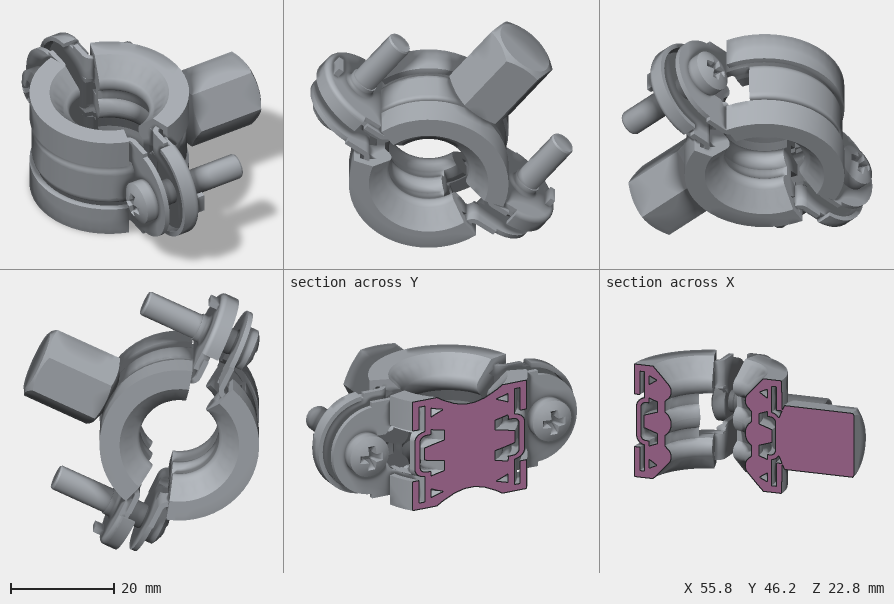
import cadquery as cq
import math


OVERALL_X = 55.82
OVERALL_Y = 46.19

LINING_R = 15.5
LINING_HALF_H = 11.42
WRAP_INNER_R = 14.3
WRAP_EDGE_Z = 5.27
BORE_R = 7.73
RECESS_R = 9.05
MOUTH_R = 11.6
CONE_END_R = 8.4
CONE_END_Z = 8.07
RIB_CREST_Z = 6.6
RIB_END_Z = 5.1
RECESS_TOP_Z = 4.5
RECESS_LOW_Z = 2.4
NOTCH_R = 10.84
NOTCH_TOP_Z = 9.3
NOTCH_Z = 8.6
NOTCH_LOW_Z = 7.6
BACK_R = 10.7
BACK_TOP_Z = 4.2
BACK_LOW_Z = 2.2
HUMP_R = 13.5
HUMP_HALF_H = 1.3

SHEET = 1.0
BAND_INNER_R = 12.4
BAND_OUTER_R = BAND_INNER_R + SHEET
BAND_HALF_H = 10.0
BEAD_OUTER_R = 15.1
BEAD_HALF_H = 4.8
BEAD_ROUND = 2.0
BEAD_MOUTH_ROUND = 1.75

EAR_FACE_Y = 2.05
EAR_BACK_Y = EAR_FACE_Y + SHEET
EAR_DISC_X = 17.5
EAR_DISC_R = 9.1
UPPER_EAR_STEP_X = 17.3
LOWER_EAR_STEP_X = 18.1
BEND_INNER_R = 1.0
BEND_OUTER_R = BEND_INNER_R + SHEET
BEND_CENTRE_Y = EAR_FACE_Y + BEND_OUTER_R
BEND_CENTRE_R = BAND_OUTER_R + BEND_INNER_R
CUT_ANGLE = math.asin(BEND_CENTRE_Y / BEND_CENTRE_R)
BEND_CENTRE_X = BEND_CENTRE_R * math.cos(CUT_ANGLE)

SCREW_X = 19.9
SCREW_D = 5.0
SCREW_TIP_D = 4.6
SCREW_TIP_Y = 17.0
SCREW_TIP_L = 0.35
NECK_TOP_Y = -1.75
HEAD_D = 8.38
HEAD_RIM_Y = -5.5
HEAD_END_Y = -6.9
RECESS_ARM_L = 5.5
RECESS_ARM_W = 1.65
RECESS_FLOOR_L = 2.1
RECESS_FLOOR_W = 1.2
RECESS_CORE_SIDES = 8
RECESS_CORE_D = RECESS_FLOOR_L / math.cos(math.pi / RECESS_CORE_SIDES)
RECESS_DEPTH = 2.8

SLOT_W = 5.8
SLOT_END_X = 15.1
KEYHOLE_X = 13.8
KEYHOLE_HALF_W = 4.4
KEYHOLE_END_ANGLE = math.radians(33.5)

CAGE_R = 10.17
CAGE_END_X = OVERALL_X / 2
CAGE_CENTRE_X = CAGE_END_X - CAGE_R
CAGE_WALL = 0.9
CAGE_CUT_X = 18.55
CAGE_TOP_Y = EAR_BACK_Y + SHEET
CAGE_RIM_Y = 0.6
CAGE_ROUND = 0.95
TONGUE_END_X = 14.74
TONGUE_HALF_W = 9.1
TAB_X = 25.3
TAB_T = 1.1
TAB_W = 3.8
TAB_TOP_Y = 5.9
COLLAR_D = 5.5
COLLAR_FOOT_D = 6.65
COLLAR_FOOT_Y = 4.8
COLLAR_TOP_Y = 5.7

NUT_FLATS = 13.0
NUT_CORNERS = NUT_FLATS / math.cos(math.pi / 6)
NUT_TOP_Y = OVERALL_Y - LINING_R
NUT_SEAT_Y = 14.6
NUT_TOP_R = 5.93
NUT_TOP_EDGE_Y = 29.8
NUT_LOW_EDGE_Y = 16.4
NUT_SEAT_R = 3.4

FAR = 40.0


def plate(sketch, y_low, y_high):
    """Extrude a sketch lying in the X-Z plane between two Y levels."""
    return sketch.extrude(y_low - y_high).translate((0, y_low, 0))


def arc_pair(profile):
    """Revolve a profile of the X-Z plane into the upper and lower clamp arcs."""
    sweep = 180 - 2 * math.degrees(CUT_ANGLE)
    arc = profile.revolve(sweep, (0, 0), (0, 1))
    arc = arc.rotate((0, 0, 0), (0, 0, 1), math.degrees(CUT_ANGLE))
    return arc.union(arc.mirror("XZ"))


def rib_middle():
    """Mid point of the round flank from the middle rib crest to the recess."""
    sag = RECESS_R - BORE_R
    radius = (RECESS_LOW_Z ** 2 + sag ** 2) / (2 * sag)
    angle = math.asin(RECESS_LOW_Z / radius) / 2
    return (BORE_R + radius * (1 - math.cos(angle)), radius * math.sin(angle))


def make_lining():
    """Soft lining: conical mouths, three sealing ribs and wraps around the band edges."""
    profile = (
        cq.Workplane("XZ")
        .moveTo(BORE_R, 0)
        .threePointArc(rib_middle(), (RECESS_R, RECESS_LOW_Z))
        .lineTo(RECESS_R, RECESS_TOP_Z)
        .lineTo(CONE_END_R, RIB_END_Z)
        .threePointArc((BORE_R, RIB_CREST_Z), (CONE_END_R, CONE_END_Z))
        .lineTo(MOUTH_R, LINING_HALF_H)
        .lineTo(LINING_R, LINING_HALF_H)
        .lineTo(LINING_R, WRAP_EDGE_Z)
        .lineTo(WRAP_INNER_R, WRAP_EDGE_Z)
        .lineTo(WRAP_INNER_R, BAND_HALF_H)
        .lineTo(BAND_INNER_R, BAND_HALF_H)
        .lineTo(BAND_INNER_R, NOTCH_TOP_Z)
        .lineTo(NOTCH_R, NOTCH_Z)
        .lineTo(BAND_INNER_R, NOTCH_LOW_Z)
        .lineTo(BAND_INNER_R, BEAD_HALF_H)
        .lineTo(BACK_R, BACK_TOP_Z)
        .lineTo(BACK_R, BACK_LOW_Z)
        .lineTo(HUMP_R, HUMP_HALF_H)
        .lineTo(HUMP_R, 0)
        .close()
    )
    arcs = arc_pair(profile)
    return arcs.union(arcs.mirror("XY"))


def make_band():
    """Two band arcs with the hollow bead pressed along their middle."""
    strip = cq.Workplane("XZ").moveTo((BAND_INNER_R + BAND_OUTER_R) / 2, 0).rect(SHEET, 2 * BAND_HALF_H)
    band = arc_pair(strip)
    bead = cq.Workplane("XY").circle(BEAD_OUTER_R).circle((BAND_INNER_R + BAND_OUTER_R) / 2)
    bead = bead.extrude(BEAD_HALF_H, both=True)
    bead = bead.edges(cq.selectors.RadiusNthSelector(-1)).fillet(BEAD_ROUND)
    gap = cq.Workplane("XY").box(FAR, 2 * EAR_FACE_Y, FAR)
    cavity = cq.Workplane("XY").circle(BEAD_OUTER_R - SHEET)
    cavity = cavity.extrude(BEAD_HALF_H - SHEET, both=True).edges().fillet(BEAD_ROUND - SHEET)
    return band.union(bead.cut(gap)).cut(cavity)


def make_ear(step_x):
    """Upper right ear with the bends that join it to the band."""
    root = cq.Workplane("XZ").moveTo((BEND_CENTRE_X + step_x) / 2, 0)
    root = plate(root.rect(step_x - BEND_CENTRE_X, 2 * BAND_HALF_H), EAR_FACE_Y, EAR_BACK_Y)
    disc = plate(cq.Workplane("XZ").center(EAR_DISC_X, 0).circle(EAR_DISC_R), EAR_FACE_Y, EAR_BACK_Y)
    inner_side = cq.Workplane("XY").box(FAR, FAR, FAR).translate((BEND_CENTRE_X - FAR / 2, 0, 0))
    ear = root.union(disc.cut(inner_side))

    def on_bend(radius, angle):
        return (BEND_CENTRE_X + radius * math.cos(angle), BEND_CENTRE_Y + radius * math.sin(angle))

    start = math.pi + CUT_ANGLE
    end = 1.5 * math.pi
    middle = (start + end) / 2
    bend = (
        cq.Workplane("XY")
        .moveTo(*on_bend(BEND_OUTER_R, start))
        .threePointArc(on_bend(BEND_OUTER_R, middle), on_bend(BEND_OUTER_R, end))
        .lineTo(*on_bend(BEND_INNER_R, end))
        .threePointArc(on_bend(BEND_INNER_R, middle), on_bend(BEND_INNER_R, start))
        .close()
        .extrude(BAND_HALF_H - BEAD_HALF_H)
        .translate((0, 0, BEAD_HALF_H))
    )
    return ear.union(bend).union(bend.mirror("XY"))


def make_bead_mouth():
    """Waste between the sharp upper right bead corner and its rounded shape."""
    centre_y = EAR_FACE_Y + BEAD_MOUTH_ROUND
    wall_x = math.sqrt((BEAD_OUTER_R - SHEET) ** 2 - centre_y ** 2)
    centre_x = wall_x + BEAD_MOUTH_ROUND
    arc_middle = BEAD_MOUTH_ROUND * math.sqrt(0.5)
    waste = (
        cq.Workplane("XY")
        .moveTo(wall_x, centre_y)
        .threePointArc((centre_x - arc_middle, centre_y - arc_middle), (centre_x, EAR_FACE_Y))
        .lineTo(wall_x, EAR_FACE_Y)
        .close()
    )
    return waste.extrude(BEAD_HALF_H - SHEET, both=True)


def make_keyhole():
    """Screw slot that widens into an opening through band and lining for the screw head."""
    outline = [
        (-SCREW_X, SLOT_W / 2),
        (-SLOT_END_X, SLOT_W / 2),
        (-KEYHOLE_X, KEYHOLE_HALF_W),
        (0, KEYHOLE_HALF_W),
        (0, -KEYHOLE_HALF_W),
        (-KEYHOLE_X, -KEYHOLE_HALF_W),
        (-SLOT_END_X, -SLOT_W / 2),
        (-SCREW_X, -SLOT_W / 2),
    ]
    slot = plate(cq.Workplane("XZ").polyline(outline).close(), -LINING_R, 0)
    sector = [(0, 0), (-FAR, 0), (-FAR, -FAR * math.tan(KEYHOLE_END_ANGLE))]
    slot = slot.intersect(cq.Workplane("XY").polyline(sector).close().extrude(FAR, both=True))
    return slot.union(plate(cq.Workplane("XZ").center(-SCREW_X, 0).circle(SLOT_W / 2), -LINING_R, 0))


def make_screw(x):
    """Pan-head screw with a tapered cross recess."""
    outline = (
        cq.Workplane("XY")
        .moveTo(0, SCREW_TIP_Y)
        .lineTo(SCREW_TIP_D / 2, SCREW_TIP_Y)
        .lineTo(SCREW_D / 2, SCREW_TIP_Y - SCREW_TIP_L)
        .lineTo(SCREW_D / 2, NECK_TOP_Y)
        .lineTo(SCREW_TIP_D / 2, NECK_TOP_Y - SCREW_TIP_L)
        .lineTo(SCREW_TIP_D / 2, -EAR_BACK_Y)
        .lineTo(HEAD_D / 2, -EAR_BACK_Y)
        .lineTo(HEAD_D / 2, HEAD_RIM_Y)
    )
    sag = HEAD_RIM_Y - HEAD_END_Y
    dome_r = ((HEAD_D / 2) ** 2 + sag ** 2) / (2 * sag)
    half_angle = math.asin(HEAD_D / 2 / dome_r) / 2
    dome_middle = (dome_r * math.sin(half_angle), HEAD_END_Y + dome_r * (1 - math.cos(half_angle)))
    outline = outline.threePointArc(dome_middle, (0, HEAD_END_Y)).close()
    screw = outline.revolve(360, (0, 0), (0, 1))
    arm = (
        cq.Workplane("XZ", origin=(0, HEAD_END_Y, 0))
        .rect(RECESS_ARM_L, RECESS_ARM_W)
        .workplane(offset=-RECESS_DEPTH)
        .rect(RECESS_FLOOR_L, RECESS_FLOOR_W)
        .loft(ruled=True)
    )
    core = cq.Workplane("XZ", origin=(0, HEAD_END_Y, 0))
    core = core.polygon(RECESS_CORE_SIDES, RECESS_CORE_D).extrude(-RECESS_DEPTH)
    core = core.rotate((0, 0, 0), (0, 1, 0), 180 / RECESS_CORE_SIDES)
    screw = screw.cut(arm).cut(arm.rotate((0, 0, 0), (0, 1, 0), 90)).cut(core)
    return screw.translate((x, 0, 0))


def make_cage():
    """Right cage: half-round cap with rim, tongue, tab and screw collar."""
    cap = plate(cq.Workplane("XZ").center(CAGE_CENTRE_X, 0).circle(CAGE_R), CAGE_RIM_Y, CAGE_TOP_Y)
    cap = cap.faces(">Y").edges().fillet(CAGE_ROUND)
    hollow = cq.Workplane("XZ").center(CAGE_CENTRE_X, 0).circle(CAGE_R - CAGE_WALL)
    cap = cap.cut(plate(hollow, CAGE_RIM_Y, EAR_BACK_Y))
    inner_side = cq.Workplane("XY").box(FAR, FAR, FAR).translate((CAGE_CUT_X - FAR / 2, 0, 0))
    cap = cap.cut(inner_side)
    tongue = cq.Workplane("XZ").center((TONGUE_END_X + CAGE_CUT_X) / 2, 0)
    tongue = tongue.rect(CAGE_CUT_X - TONGUE_END_X, 2 * TONGUE_HALF_W)
    tab = plate(cq.Workplane("XZ").center(TAB_X + TAB_T / 2, 0).rect(TAB_T, TAB_W), EAR_BACK_Y, TAB_TOP_Y)
    foot_r = COLLAR_FOOT_D / 2
    neck_r = COLLAR_D / 2
    arc_share = 1 - math.sqrt(0.5)
    flare_middle = (
        neck_r + (foot_r - neck_r) * arc_share,
        CAGE_TOP_Y + (COLLAR_FOOT_Y - CAGE_TOP_Y) * arc_share,
    )
    collar = (
        cq.Workplane("XY")
        .moveTo(0, EAR_BACK_Y)
        .lineTo(foot_r, EAR_BACK_Y)
        .lineTo(foot_r, CAGE_TOP_Y)
        .threePointArc(flare_middle, (neck_r, COLLAR_FOOT_Y))
        .lineTo(neck_r, COLLAR_TOP_Y)
        .lineTo(0, COLLAR_TOP_Y)
        .close()
        .revolve(360, (0, 0), (0, 1))
        .translate((SCREW_X, 0, 0))
    )
    return cap.union(plate(tongue, EAR_BACK_Y, CAGE_TOP_Y)).union(tab).union(collar)


def make_nut():
    """Hexagonal connection nut with both ends chamfered."""
    blank = cq.Workplane("XZ").polygon(6, NUT_CORNERS)
    blank = plate(blank, NUT_SEAT_Y, NUT_TOP_Y)
    outline = [
        (0, NUT_SEAT_Y),
        (NUT_SEAT_R, NUT_SEAT_Y),
        (NUT_CORNERS / 2, NUT_LOW_EDGE_Y),
        (NUT_CORNERS / 2, NUT_TOP_EDGE_Y),
        (NUT_TOP_R, NUT_TOP_Y),
        (0, NUT_TOP_Y),
    ]
    chamfers = cq.Workplane("XY").polyline(outline).close().revolve(360, (0, 0), (0, 1))
    return blank.intersect(chamfers)


upper_ear = make_ear(UPPER_EAR_STEP_X)
lower_ear = make_ear(LOWER_EAR_STEP_X).mirror("XZ")
sheet = make_band().union(upper_ear).union(upper_ear.mirror("YZ"))
sheet = sheet.union(lower_ear).union(lower_ear.mirror("YZ"))
bead_mouth = make_bead_mouth()
bead_mouth = bead_mouth.union(bead_mouth.mirror("YZ"))
sheet = sheet.cut(bead_mouth).cut(bead_mouth.mirror("XZ"))

cage = make_cage()
result = sheet.union(make_lining()).cut(make_keyhole()).union(make_nut())
result = result.union(cage).union(cage.mirror("YZ"))
for screw_x in (-SCREW_X, SCREW_X):
    result = result.union(make_screw(screw_x))